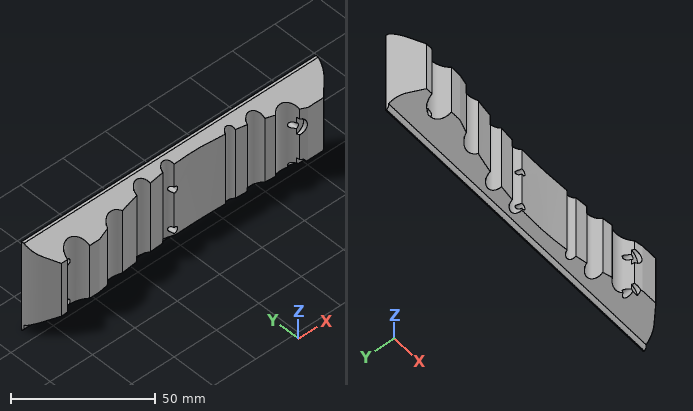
import cadquery as cq
import math

LENGTH = 139.0
DEPTH = 12.1
HEIGHT = 41.8
HALF_LENGTH = LENGTH / 2

RIM_DEPTH = 1.3
BEVEL_DROP = 7.0
LIP_HEIGHT = 2.8
LIP_TIP_DEPTH = 0.4
LIP_ARC_HEIGHT = 1.5
LIP_ARC_RADIUS = 1.8

END_ARC_RADIUS = 10.1
END_FLAT_ANGLE = math.radians(45)
END_FLAT_RUN = 4.7

HOLLOW_CENTER_X = 5.4
HOLLOW_HALF_WIDTH = 49.2
HOLLOW_SAGITTA = 7.1

LARGE_GROOVE_RADIUS = 5.21
GROOVES = [
    (-53.6, LARGE_GROOVE_RADIUS, DEPTH),
    (-33.6, LARGE_GROOVE_RADIUS, DEPTH),
    (-17.9, 3.6, 6.7),
    (-5.0, 2.8, 5.4),
    (23.6, 2.1, 6.0),
    (34.3, 3.6, 7.5),
    (46.3, LARGE_GROOVE_RADIUS, DEPTH),
]

HOLE_CENTER_X = -2.0
HOLE_SPACING_X = 52.4
HOLE_LOWER_Z = 7.8
HOLE_SPACING_Z = 19.2
HOLE_DIAMETER = 2.9
COUNTERBORE_DIAMETER = 7.8
COUNTERBORE_FLOOR = 10.0


def plan_body():
    """Upright prism with rounded ends and the hollowed front."""
    flat_start_x = HALF_LENGTH - END_ARC_RADIUS * (1 - math.cos(END_FLAT_ANGLE))
    flat_start_y = END_FLAT_RUN - DEPTH
    arc_start_y = flat_start_y + END_ARC_RADIUS * math.sin(END_FLAT_ANGLE)
    arc_mid_x = HALF_LENGTH - END_ARC_RADIUS * (1 - math.cos(END_FLAT_ANGLE / 2))
    arc_mid_y = arc_start_y - END_ARC_RADIUS * math.sin(END_FLAT_ANGLE / 2)
    front_x = flat_start_x - END_FLAT_RUN / math.tan(END_FLAT_ANGLE)
    return (
        cq.Workplane("XY")
        .moveTo(-HALF_LENGTH, 0)
        .lineTo(-HALF_LENGTH, arc_start_y)
        .threePointArc((-arc_mid_x, arc_mid_y), (-flat_start_x, flat_start_y))
        .lineTo(-front_x, -DEPTH)
        .lineTo(HOLLOW_CENTER_X - HOLLOW_HALF_WIDTH, -DEPTH)
        .threePointArc(
            (HOLLOW_CENTER_X, HOLLOW_SAGITTA - DEPTH),
            (HOLLOW_CENTER_X + HOLLOW_HALF_WIDTH, -DEPTH),
        )
        .lineTo(front_x, -DEPTH)
        .lineTo(flat_start_x, flat_start_y)
        .threePointArc((arc_mid_x, arc_mid_y), (HALF_LENGTH, arc_start_y))
        .lineTo(HALF_LENGTH, 0)
        .close()
        .extrude(HEIGHT)
    )


def cross_section():
    """Bevelled YZ section with the lower lip, swept along the whole length."""
    return (
        cq.Workplane("YZ")
        .polyline([
            (-RIM_DEPTH, LIP_ARC_HEIGHT),
            (-RIM_DEPTH, LIP_HEIGHT),
            (-DEPTH, LIP_HEIGHT + BEVEL_DROP),
            (-DEPTH, HEIGHT - BEVEL_DROP),
            (-RIM_DEPTH, HEIGHT),
            (0, HEIGHT),
            (0, 0),
            (-LIP_TIP_DEPTH, 0),
        ])
        .radiusArc((-RIM_DEPTH, LIP_ARC_HEIGHT), LIP_ARC_RADIUS)
        .close()
        .extrude(HALF_LENGTH, both=True)
    )


def groove(center_x, radius, axis_depth):
    """Full-height cutter: a cylinder opened toward the front by straight sides."""
    cutter = cq.Workplane("XY").center(center_x, -axis_depth).circle(radius).extrude(HEIGHT)
    mouth = (
        cq.Workplane("XY")
        .center(center_x, -axis_depth)
        .rect(2 * radius, 2 * DEPTH)
        .extrude(HEIGHT)
        .translate((0, -DEPTH, 0))
    )
    return cutter.union(mouth)


def screw_hole(x, z):
    """Through hole with a counterbore open to the front."""
    plane = cq.Workplane("XZ").center(x, z)
    bore = plane.circle(HOLE_DIAMETER / 2).extrude(DEPTH)
    counterbore = (
        plane.workplane(offset=COUNTERBORE_FLOOR)
        .circle(COUNTERBORE_DIAMETER / 2)
        .extrude(DEPTH - COUNTERBORE_FLOOR)
    )
    return bore.union(counterbore)


result = plan_body().intersect(cross_section())

for center_x, radius, axis_depth in GROOVES:
    result = result.cut(groove(center_x, radius, axis_depth))

for column in (-1, 0, 1):
    for row in (0, 1):
        hole_x = HOLE_CENTER_X + column * HOLE_SPACING_X
        hole_z = HOLE_LOWER_Z + row * HOLE_SPACING_Z
        result = result.cut(screw_hole(hole_x, hole_z))